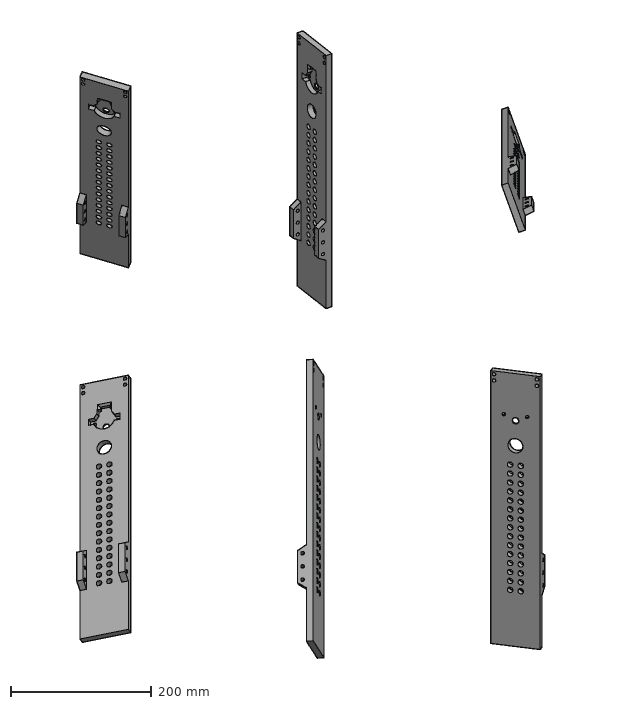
import cadquery as cq

PLATE_WIDTH = 74.0
PLATE_THICKNESS = 10.0
PLATE_HEIGHT = 427.0
FRONT_Y = -PLATE_THICKNESS

EAR_WIDTH = 10.0
EAR_PROJECTION = 13.0
EAR_CENTER_Z = 114.0
EAR_BASE_LENGTH = 65.5
EAR_TIP_LENGTH = 48.5
EAR_HOLE_DIAMETER = 5.0
EAR_HOLE_PITCH = 20.0
EAR_HOLE_STANDOFF = 5.5

CORNER_HOLE_DIAMETER = 5.0
CORNER_HOLE_EDGE_DISTANCE = 5.0
CORNER_HOLE_PITCH = 10.0

VENT_DIAMETER = 8.0
VENT_ROWS = 15
VENT_ROW_PITCH = 14.0
VENT_COLUMN_PITCH = 16.0
VENT_BOTTOM_Z = 87.5

LARGE_HOLE_DIAMETER = 22.0
LARGE_HOLE_Z = 314.0

POCKET_DEPTH = 8.0
POCKET_RADIUS = 16.0
POCKET_CENTER_Z = 361.0
SLOT_LENGTH = 48.0
SLOT_HEIGHT = 10.0
SLOT_CENTER_Z = 361.0
NECK_WIDTH = 22.0
NECK_TOP_Z = 380.0
NECK_END_WIDTH = 21.0
NECK_END_OFFSET = 0.5
NECK_END_TOP_Z = 387.5
NECK_END_BEVEL = 3.0

SCREW_HOLE_DIAMETER = 4.5
SCREW_HOLE_PITCH = 35.0
CABLE_HOLE_DIAMETER = 9.5
CABLE_HOLE_Z = 353.0


def front_sketch():
    """Work plane on the front face: local X runs along -X, local Y along +Z, extrusion along +Y."""
    return cq.Workplane(cq.Plane((0, FRONT_Y, 0), xDir=(-1, 0, 0), normal=(0, 1, 0)))


def through_holes(points, diameter):
    """Cylinders through the full plate thickness, centred on (X, Z) points of the front sketch."""
    return front_sketch().pushPoints(points).circle(diameter / 2).extrude(PLATE_THICKNESS)


def plate():
    outline = front_sketch().center(0, PLATE_HEIGHT / 2).rect(PLATE_WIDTH, PLATE_HEIGHT)
    return outline.extrude(PLATE_THICKNESS)


def ear(side):
    """Side ear with three cross holes; side is -1 for left and +1 for right."""
    tip_y = FRONT_Y - EAR_PROJECTION
    profile = [
        (FRONT_Y, EAR_CENTER_Z - EAR_BASE_LENGTH / 2),
        (tip_y, EAR_CENTER_Z - EAR_TIP_LENGTH / 2),
        (tip_y, EAR_CENTER_Z + EAR_TIP_LENGTH / 2),
        (FRONT_Y, EAR_CENTER_Z + EAR_BASE_LENGTH / 2),
    ]
    hole_y = FRONT_Y - EAR_HOLE_STANDOFF
    hole_points = [(hole_y, EAR_CENTER_Z + step * EAR_HOLE_PITCH) for step in (-1, 0, 1)]
    body = cq.Workplane("YZ").polyline(profile).close().extrude(EAR_WIDTH / 2, both=True)
    hole_circles = cq.Workplane("YZ").pushPoints(hole_points).circle(EAR_HOLE_DIAMETER / 2)
    holes = hole_circles.extrude(EAR_WIDTH / 2, both=True)
    return body.cut(holes).translate((side * (PLATE_WIDTH - EAR_WIDTH) / 2, 0, 0))


def corner_holes():
    x = PLATE_WIDTH / 2 - CORNER_HOLE_EDGE_DISTANCE
    upper_z = PLATE_HEIGHT - CORNER_HOLE_EDGE_DISTANCE
    points = [(side * x, z) for side in (-1, 1) for z in (upper_z, upper_z - CORNER_HOLE_PITCH)]
    return through_holes(points, CORNER_HOLE_DIAMETER)


def vent_holes():
    x = VENT_COLUMN_PITCH / 2
    points = [
        (side * x, VENT_BOTTOM_Z + row * VENT_ROW_PITCH)
        for side in (-1, 1)
        for row in range(VENT_ROWS)
    ]
    return through_holes(points, VENT_DIAMETER)


def neck_end_cut():
    """Upper end of the neck: bevelled on its top and sides, then straight down to the floor."""
    inner_width = NECK_END_WIDTH - 2 * NECK_END_BEVEL
    outer_height = NECK_END_TOP_Z - NECK_TOP_Z
    inner_height = outer_height - NECK_END_BEVEL
    bevel = (
        front_sketch()
        .center(0, NECK_TOP_Z + outer_height / 2)
        .rect(NECK_END_WIDTH, outer_height)
        .workplane(offset=NECK_END_BEVEL)
        .center(0, -NECK_END_BEVEL / 2)
        .rect(inner_width, inner_height)
        .loft(ruled=True)
    )
    well = (
        front_sketch()
        .center(0, NECK_TOP_Z + inner_height / 2)
        .rect(inner_width, inner_height)
        .extrude(POCKET_DEPTH)
    )
    return bevel.union(well).translate((NECK_END_OFFSET, 0, 0))


def pocket():
    neck_height = NECK_TOP_Z - POCKET_CENTER_Z
    body = front_sketch().center(0, POCKET_CENTER_Z).circle(POCKET_RADIUS).extrude(POCKET_DEPTH)
    slot = front_sketch().center(0, SLOT_CENTER_Z).rect(SLOT_LENGTH, SLOT_HEIGHT).extrude(POCKET_DEPTH)
    neck = (
        front_sketch()
        .center(0, POCKET_CENTER_Z + neck_height / 2)
        .rect(NECK_WIDTH, neck_height)
        .extrude(POCKET_DEPTH)
    )
    return body.union(slot).union(neck).union(neck_end_cut())


def pocket_floor_holes():
    screw_points = [(side * SCREW_HOLE_PITCH / 2, SLOT_CENTER_Z) for side in (-1, 1)]
    screw_holes = through_holes(screw_points, SCREW_HOLE_DIAMETER)
    cable_hole = through_holes([(0, CABLE_HOLE_Z)], CABLE_HOLE_DIAMETER)
    return screw_holes.union(cable_hole)


result = plate().union(ear(-1)).union(ear(1))
result = result.cut(corner_holes()).cut(vent_holes())
result = result.cut(through_holes([(0, LARGE_HOLE_Z)], LARGE_HOLE_DIAMETER))
result = result.cut(pocket()).cut(pocket_floor_holes())